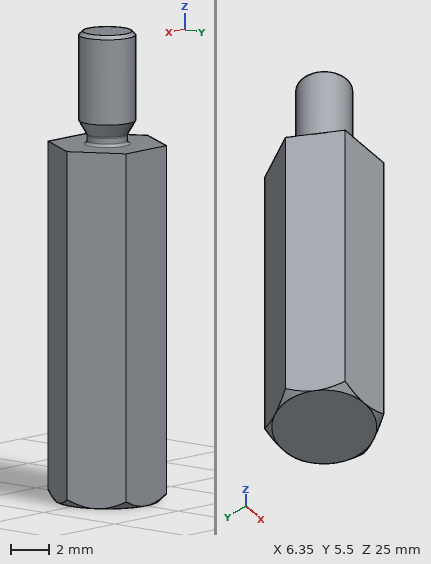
import cadquery as cq
import math

total_length = 25.0
body_length = 19.0
across_flats = 5.5
across_corners = across_flats / math.cos(math.pi / 6)

stud_diameter = 3.0
stud_tip_chamfer = 0.2
neck_diameter = 2.12
neck_root_diameter = 2.45
neck_fillet = (neck_root_diameter - neck_diameter) / 2
relief_half_angle = 30.0
relief_top = 1.25

bottom_chamfer_angle = 45.0
bottom_face_diameter = across_flats


def hexagonal_body():
    """Hexagonal prism with its lower corners turned off by a cone."""
    prism = cq.Workplane("XY").polygon(6, across_corners).extrude(body_length)
    face_radius = bottom_face_diameter / 2
    corner_radius = across_corners / 2
    cone_height = (corner_radius - face_radius) * math.tan(math.radians(bottom_chamfer_angle))
    envelope = (
        cq.Workplane("XZ")
        .moveTo(0, 0)
        .lineTo(face_radius, 0)
        .lineTo(corner_radius, cone_height)
        .lineTo(corner_radius, body_length)
        .lineTo(0, body_length)
        .close()
        .revolve(360, (0, 0), (0, 1))
    )
    return prism.intersect(envelope)


def stud():
    """Turned stud with a neck filleted at both ends, a conical relief and a chamfered tip."""
    stud_radius = stud_diameter / 2
    neck_radius = neck_diameter / 2
    root_radius = neck_root_diameter / 2
    half_angle = math.radians(relief_half_angle)

    diagonal = neck_fillet * math.sqrt(0.5)
    root_middle = (root_radius - diagonal, body_length + neck_fillet - diagonal)

    cone_start = body_length + relief_top - (stud_radius - neck_radius) / math.tan(half_angle)
    blend_start = cone_start - neck_fillet * math.tan(half_angle / 2)

    def blend_point(angle):
        return (
            neck_radius + neck_fillet * (1 - math.cos(angle)),
            blend_start + neck_fillet * math.sin(angle),
        )

    return (
        cq.Workplane("XZ")
        .moveTo(0, body_length)
        .lineTo(root_radius, body_length)
        .threePointArc(root_middle, (neck_radius, body_length + neck_fillet))
        .lineTo(neck_radius, blend_start)
        .threePointArc(blend_point(half_angle / 2), blend_point(half_angle))
        .lineTo(stud_radius, body_length + relief_top)
        .lineTo(stud_radius, total_length - stud_tip_chamfer)
        .lineTo(stud_radius - stud_tip_chamfer, total_length)
        .lineTo(0, total_length)
        .close()
        .revolve(360, (0, 0), (0, 1))
    )


result = hexagonal_body().union(stud())